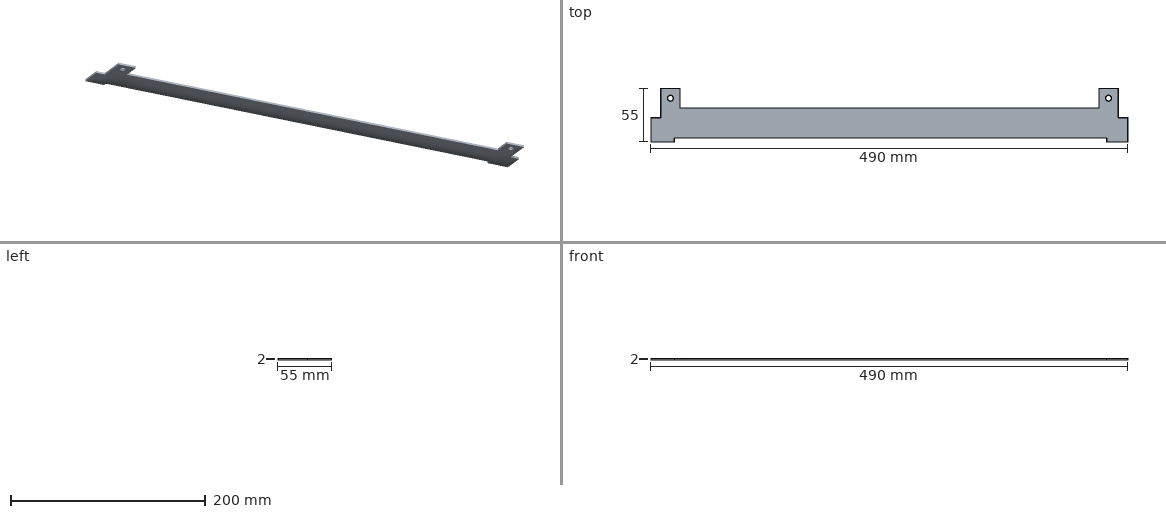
import cadquery as cq

length = 490.0
width = 55.0
thickness = 2.0

tab_inset = 10.0
tab_width = 20.0
tab_height = 20.0
hole_diameter = 5.8
hole_edge_distance = 10.0

left_foot_length = 24.0
right_foot_length = 22.0
foot_height = 4.0

shoulder_drop = 30.0

half_length = length / 2
top_y = width / 2
bottom_y = -width / 2
strip_top_y = top_y - tab_height
strip_bottom_y = bottom_y + foot_height
shoulder_y = top_y - shoulder_drop
tab_outer_x = half_length - tab_inset
tab_inner_x = tab_outer_x - tab_width
left_foot_inner_x = left_foot_length - half_length
right_foot_inner_x = half_length - right_foot_length
hole_x = (tab_outer_x + tab_inner_x) / 2
hole_y = top_y - hole_edge_distance


def make_plate():
    """Flat plate with two mirrored tabs and two feet of different lengths."""
    right_tab_side = [
        (half_length, bottom_y),
        (half_length, shoulder_y),
        (tab_outer_x, shoulder_y),
        (tab_outer_x, top_y),
        (tab_inner_x, top_y),
        (tab_inner_x, strip_top_y),
    ]
    left_tab_side = [(-x, y) for x, y in reversed(right_tab_side)]
    strip_bottom = [
        (left_foot_inner_x, bottom_y),
        (left_foot_inner_x, strip_bottom_y),
        (right_foot_inner_x, strip_bottom_y),
        (right_foot_inner_x, bottom_y),
    ]
    outline = right_tab_side + left_tab_side + strip_bottom
    return cq.Workplane("XY").polyline(outline).close().extrude(thickness)


def cut_tab_holes(plate):
    """Drill one through hole in each tab."""
    hole_centers = [(-hole_x, hole_y), (hole_x, hole_y)]
    return (
        plate.faces(">Z")
        .workplane(origin=(0, 0, thickness))
        .pushPoints(hole_centers)
        .hole(hole_diameter)
    )


result = cut_tab_holes(make_plate())